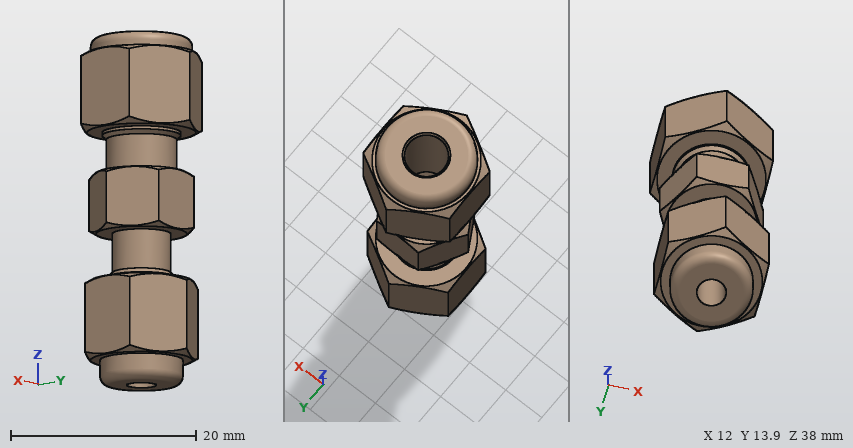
import cadquery as cq
import math

total_length = 38.0
nut_length = 8.63
hex_chamfer_angle = math.radians(30)
chamfer_circle_ratio = 0.98
envelope_ratio = 1.1

large_nut_flats = 12.0
large_rim_diameter = 11.01
large_rim_height = 1.7
large_shoulder_diameter = 8.51
large_shoulder_height = 0.33
large_neck_diameter = 7.62
large_tube_bore = 4.76

small_nut_flats = 11.2
small_rim_diameter = 8.97
small_rim_height = 2.72
small_shoulder_diameter = 7.37
small_shoulder_height = 0.43
small_neck_diameter = 6.35
small_tube_bore = 3.17

rim_fillet = 1.0

body_hex_flats = 10.0
body_hex_length = 6.6
body_hex_bottom = 16.57

mouth_diameter = 5.2
bore_cone_half_angle = math.radians(45)
large_bore_depth = 12.0

small_nut_bottom = small_rim_height
small_nut_top = small_nut_bottom + nut_length
large_nut_top = total_length - large_rim_height
large_nut_bottom = large_nut_top - nut_length
body_hex_top = body_hex_bottom + body_hex_length


def revolve_profile(points):
    """Revolve a closed outline of (radius, height) points about the Z axis."""
    return cq.Workplane("XZ").polyline(points).close().revolve(360, (0, 0, 0), (0, 1, 0))


def cylinder(diameter, bottom, top):
    return cq.Workplane("XY").workplane(offset=bottom).circle(diameter / 2).extrude(top - bottom)


def chamfered_hexagon(flats, bottom, length, rotation):
    """Hexagonal prism whose corners are turned down by a cone at both ends."""
    corner_radius = flats / math.sqrt(3)
    prism = (
        cq.Workplane("XY")
        .workplane(offset=bottom)
        .polygon(6, 2 * corner_radius)
        .extrude(length)
        .rotate((0, 0, 0), (0, 0, 1), rotation)
    )
    face_radius = chamfer_circle_ratio * flats / 2
    envelope_radius = envelope_ratio * corner_radius
    drop = (envelope_radius - face_radius) * math.tan(hex_chamfer_angle)
    top = bottom + length
    envelope = revolve_profile([
        (0, bottom),
        (face_radius, bottom),
        (envelope_radius, bottom + drop),
        (envelope_radius, top - drop),
        (face_radius, top),
        (0, top),
    ])
    return prism.intersect(envelope)


def shouldered_neck(neck_diameter, shoulder_diameter, shoulder_height, nut_face, hex_face):
    """Neck with a short shoulder at the nut and a 45 degree taper down to the neck."""
    toward_hex = math.copysign(1, hex_face - nut_face)
    neck_radius = neck_diameter / 2
    shoulder_radius = shoulder_diameter / 2
    taper_start = nut_face + toward_hex * shoulder_height
    taper_end = taper_start + toward_hex * (shoulder_radius - neck_radius)
    return revolve_profile([
        (0, nut_face),
        (shoulder_radius, nut_face),
        (shoulder_radius, taper_start),
        (neck_radius, taper_end),
        (neck_radius, hex_face),
        (0, hex_face),
    ])


def stepped_bore():
    """Large tube socket with a chamfered mouth, tapering to the small through bore."""
    mouth_radius = mouth_diameter / 2
    large_radius = large_tube_bore / 2
    small_radius = small_tube_bore / 2
    socket_bottom = total_length - large_bore_depth
    cone_bottom = socket_bottom - (large_radius - small_radius) / math.tan(bore_cone_half_angle)
    return revolve_profile([
        (0, 0),
        (small_radius, 0),
        (small_radius, cone_bottom),
        (large_radius, socket_bottom),
        (large_radius, total_length - (mouth_radius - large_radius)),
        (mouth_radius, total_length),
        (0, total_length),
    ])


small_rim = cylinder(small_rim_diameter, 0, small_nut_bottom).faces("<Z").edges().fillet(rim_fillet)
large_rim = cylinder(large_rim_diameter, large_nut_top, total_length).faces(">Z").edges().fillet(rim_fillet)

small_nut = chamfered_hexagon(small_nut_flats, small_nut_bottom, nut_length, rotation=90)
large_nut = chamfered_hexagon(large_nut_flats, large_nut_bottom, nut_length, rotation=90)
body_hex = chamfered_hexagon(body_hex_flats, body_hex_bottom, body_hex_length, rotation=0)

small_neck = shouldered_neck(
    small_neck_diameter, small_shoulder_diameter, small_shoulder_height, small_nut_top, body_hex_bottom
)
large_neck = shouldered_neck(
    large_neck_diameter, large_shoulder_diameter, large_shoulder_height, large_nut_bottom, body_hex_top
)

result = small_rim
for section in (small_nut, small_neck, body_hex, large_neck, large_nut, large_rim):
    result = result.union(section)
result = result.cut(stepped_bore())